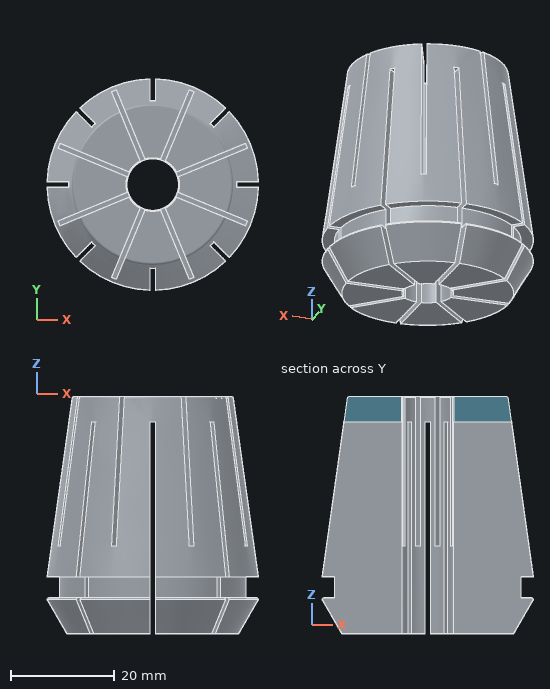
import cadquery as cq
import math

total_height = 46.0
rim_height = 6.65
flange_top = 7.0
groove_top = 11.0

rim_radius = 20.5
groove_radius = 18.1
body_taper = math.radians(8)
nose_taper = math.radians(30)
top_fillet = 0.5

bore_radius = 5.0
bore_chamfer = 0.2

slots_per_end = 8
slot_width = 1.0
lower_slot_top = 41.0
upper_slot_bottom = 17.0

slot_pitch = 360.0 / slots_per_end
nose_radius = rim_radius - rim_height * math.tan(nose_taper)
flange_top_radius = rim_radius - (flange_top - rim_height)
top_radius = rim_radius - (total_height - groove_top) * math.tan(body_taper)


def revolved(profile):
    """Solid made by turning a (radius, height) outline about the Z axis."""
    return cq.Workplane("XZ").polyline(profile).close().revolve(360, (0, 0, 0), (0, 1, 0))


def collet_body():
    """Revolved body: nose cone, nut groove and long taper with a rounded top edge."""
    profile = [
        (0, 0),
        (nose_radius, 0),
        (rim_radius, rim_height),
        (flange_top_radius, flange_top),
        (groove_radius, flange_top),
        (groove_radius, groove_top),
        (rim_radius, groove_top),
        (top_radius, total_height),
        (0, total_height),
    ]
    return revolved(profile).faces(">Z").edges().fillet(top_fillet)


def bore():
    """Revolved cutter for the shank bore, flared by a small chamfer at the top face."""
    profile = [
        (0, 0),
        (bore_radius, 0),
        (bore_radius, total_height - bore_chamfer),
        (bore_radius + bore_chamfer, total_height),
        (0, total_height),
    ]
    return revolved(profile)


def radial_slots(bottom, top, first_angle):
    """Ring of thin radial blades reaching from the axis past the rim."""
    blade = cq.Workplane("XY").box(
        2 * rim_radius, slot_width, top - bottom, centered=(False, True, False)
    ).translate((0, 0, bottom))
    blades = cq.Workplane("XY")
    for index in range(slots_per_end):
        angle = first_angle + index * slot_pitch
        blades = blades.add(blade.rotate((0, 0, 0), (0, 0, 1), angle))
    return blades.combine()


lower_slots = radial_slots(0, lower_slot_top, 0)
upper_slots = radial_slots(upper_slot_bottom, total_height, slot_pitch / 2)
result = collet_body().cut(bore()).cut(lower_slots).cut(upper_slots)